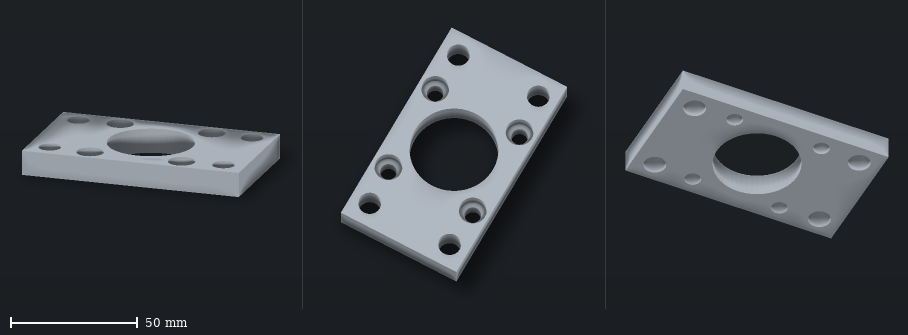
import cadquery as cq

length = 90.0
width = 52.0
thickness = 10.0

bore_diameter = 35.0

corner_hole_diameter = 9.0
corner_spacing_x = 72.0
corner_spacing_y = 36.0

screw_hole_diameter = 6.6
counterbore_diameter = 11.0
counterbore_depth = 4.95
screw_spacing = 38.0

plate = cq.Workplane("XY").box(length, width, thickness)


def on_top(body):
    """Workplane on the top face, centred on the plate."""
    return body.faces(">Z").workplane(origin=(0, 0, 0))


bored = on_top(plate).hole(bore_diameter)

with_corner_holes = (
    on_top(bored)
    .rarray(corner_spacing_x, corner_spacing_y, 2, 2)
    .hole(corner_hole_diameter)
)

result = (
    on_top(with_corner_holes)
    .rarray(screw_spacing, screw_spacing, 2, 2)
    .cboreHole(screw_hole_diameter, counterbore_diameter, counterbore_depth)
)